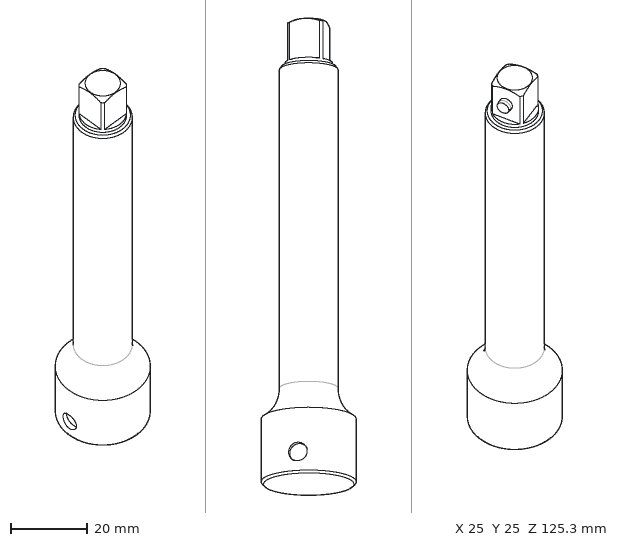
import cadquery as cq
import math

TOTAL_HEIGHT = 125.3
HEAD_RADIUS = 12.5
HEAD_HEIGHT = 17.7
HEAD_CHAMFER = 0.6
SHAFT_RADIUS = 7.8
FLARE_TOP = 25.9
SHAFT_TOP = 113.1
SHAFT_CHAMFER_WIDTH = 0.5
SHAFT_CHAMFER_HEIGHT = 0.8
COLLAR_RADIUS = 6.3
COLLAR_TOP = 114.3

DRIVE_SIDE = 9.5
DRIVE_TIP_RADIUS = 4.6
DRIVE_TIP_HEIGHT = 0.9

DETENT_RADIUS = 1.9
DETENT_Z = 119.8
DETENT_REACH = 1.8
DETENT_DEPTH = 2.5
DETENT_TAPER_LENGTH = 0.9
DETENT_TAPER_WIDTH = 0.1

PLUG_RADIUS = 2.5
PLUG_Z = 5.8
PLUG_HOLE_DEPTH = 5.0
PLUG_RECESS = 0.9
DOME_RADIUS = 5.0


def cylinder_along_y(radius, start_y, end_y, z):
    """Cylinder parallel to Y, running from start_y to the larger end_y."""
    return (
        cq.Workplane("XZ", origin=(0, start_y, z))
        .circle(radius)
        .extrude(start_y - end_y)
    )


def make_shaft():
    """Revolved head, arc flare, shaft and collar."""
    flare_width = HEAD_RADIUS - SHAFT_RADIUS
    flare_height = FLARE_TOP - HEAD_HEIGHT
    flare_radius = (flare_width**2 + flare_height**2) / (2 * flare_width)
    half_angle = math.asin(flare_height / flare_radius) / 2
    flare_middle = (
        SHAFT_RADIUS + flare_radius * (1 - math.cos(half_angle)),
        FLARE_TOP - flare_radius * math.sin(half_angle),
    )
    return (
        cq.Workplane("XZ")
        .moveTo(0, 0)
        .lineTo(HEAD_RADIUS - HEAD_CHAMFER, 0)
        .lineTo(HEAD_RADIUS, HEAD_CHAMFER)
        .lineTo(HEAD_RADIUS, HEAD_HEIGHT)
        .threePointArc(flare_middle, (SHAFT_RADIUS, FLARE_TOP))
        .lineTo(SHAFT_RADIUS, SHAFT_TOP - SHAFT_CHAMFER_HEIGHT)
        .lineTo(SHAFT_RADIUS - SHAFT_CHAMFER_WIDTH, SHAFT_TOP)
        .lineTo(COLLAR_RADIUS, SHAFT_TOP)
        .lineTo(COLLAR_RADIUS, COLLAR_TOP)
        .lineTo(0, COLLAR_TOP)
        .close()
        .revolve(360, (0, 0, 0), (0, 1, 0))
    )


def make_drive():
    """Square drive whose corners and tip are trimmed by a cone-ended cylinder."""
    square = (
        cq.Workplane("XY", origin=(0, 0, SHAFT_TOP))
        .rect(DRIVE_SIDE, DRIVE_SIDE)
        .extrude(TOTAL_HEIGHT - SHAFT_TOP)
    )
    trim = (
        cq.Workplane("XZ")
        .moveTo(0, SHAFT_TOP)
        .lineTo(COLLAR_RADIUS, SHAFT_TOP)
        .lineTo(COLLAR_RADIUS, TOTAL_HEIGHT - DRIVE_TIP_HEIGHT)
        .lineTo(DRIVE_TIP_RADIUS, TOTAL_HEIGHT)
        .lineTo(0, TOTAL_HEIGHT)
        .close()
        .revolve(360, (0, 0, 0), (0, 1, 0))
    )
    return square.intersect(trim)


def make_detent():
    """Detent pin with a slightly tapered outer end."""
    face_y = DRIVE_SIDE / 2
    cone_start_y = face_y + DETENT_REACH - DETENT_TAPER_LENGTH
    pin = cylinder_along_y(DETENT_RADIUS, face_y - DETENT_DEPTH, cone_start_y, DETENT_Z)
    tip = (
        cq.Workplane("XZ", origin=(0, cone_start_y, DETENT_Z))
        .circle(DETENT_RADIUS)
        .workplane(offset=-DETENT_TAPER_LENGTH)
        .circle(DETENT_RADIUS - DETENT_TAPER_WIDTH)
        .loft()
    )
    return pin.union(tip)


def make_plug():
    """Plug filling the inner part of its hole, with a dome facing -Y."""
    dome_y = -HEAD_RADIUS + PLUG_RECESS
    floor_y = -HEAD_RADIUS + PLUG_HOLE_DEPTH
    ball = cq.Workplane("XY", origin=(0, dome_y + DOME_RADIUS, PLUG_Z)).sphere(DOME_RADIUS)
    return cylinder_along_y(PLUG_RADIUS, dome_y, floor_y, PLUG_Z).intersect(ball)


def make_extension(detent):
    """One-piece extension bar with the detent and plug holes cut."""
    plug_hole = cylinder_along_y(PLUG_RADIUS, -HEAD_RADIUS, -HEAD_RADIUS + PLUG_HOLE_DEPTH, PLUG_Z)
    return make_shaft().union(make_drive()).cut(detent).cut(plug_hole)


detent = make_detent()
plug = make_plug()
extension = make_extension(detent)

result = cq.Compound.makeCompound([extension.val(), detent.val(), plug.val()])